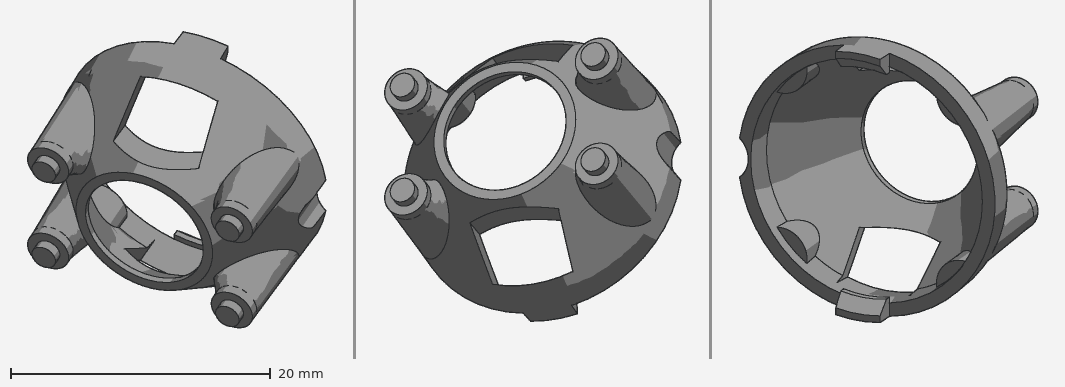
import cadquery as cq
import math


RIM_BACK_RADIUS = 11.04
SHOULDER_RADIUS = 10.96
SHOULDER_Y = -2.3
SHOULDER_SETBACK = 0.3
NOSE_RADIUS = 5.8
NOSE_Y = -9.6

CAVITY_BACK_RADIUS = 9.95
CAVITY_SHOULDER_RADIUS = 9.75
CAVITY_SHOULDER_Y = -2.3
BORE_RADIUS = 5.0
BORE_BACK_Y = -9.07

PAD_DISTANCE = 11.04
PAD_RADIUS = 2.25
PAD_BACK_Y = -0.9

POST_X = 7.8
POST_Z = 4.5
POST_ANGLE = math.atan2(POST_Z, POST_X)
POST_BASE_DISTANCE = 8.71
POST_BASE_RADIUS = 2.25
POST_ROOT_Y = -1.0
COLLAR_RADIUS = 1.75
COLLAR_END_Y = -10.4
PIN_RADIUS = 1.0
PIN_END_Y = -11.2
POST_SINK = 0.03
CURVE_STEPS = 24

WINDOW_TOP_Y = -3.33
WINDOW_TOP_RADIUS = 10.23
WINDOW_TOP_SLOPE = 0.17
WINDOW_TOP_HALF_WIDTH = 3.28
WINDOW_SILL_Z = 6.31
WINDOW_SILL_INNER_Z = 6.5
WINDOW_SIDE_SLOPE = 0.081

TAB_LENGTH = 1.5
TAB_INNER_RADIUS = 9.48
TAB_CHAMFER = 1.0
TAB_ROOT_HALF_WIDTH = 1.98
TAB_END_HALF_WIDTH = 1.91

KEY_FRONT_Y = -6.05
KEY_BACK_Y = -2.0
KEY_HALF_WIDTH = 1.76
KEY_OUTER_RADIUS = 11.02
KEY_INNER_X = -8.0
KEY_DRAFT = 2.2
KEY_CORNER_RADIUS = 0.4
KEY_FRONT_FILLET = 0.2

NOTCH_DEPTH_X = 10.17
NOTCH_RADIUS = 2.1

RIM_DRAFT = math.atan2(RIM_BACK_RADIUS - SHOULDER_RADIUS, -SHOULDER_Y)
CONE_ANGLE = math.atan2(SHOULDER_RADIUS - NOSE_RADIUS, SHOULDER_Y - NOSE_Y)
SHOULDER_ARC = SHOULDER_SETBACK / math.tan((CONE_ANGLE - RIM_DRAFT) / 2)
ARC_START_RADIUS = SHOULDER_RADIUS + SHOULDER_SETBACK * math.sin(RIM_DRAFT)
ARC_START_Y = SHOULDER_Y + SHOULDER_SETBACK * math.cos(RIM_DRAFT)
ARC_END_RADIUS = SHOULDER_RADIUS - SHOULDER_SETBACK * math.sin(CONE_ANGLE)
ARC_END_Y = SHOULDER_Y - SHOULDER_SETBACK * math.cos(CONE_ANGLE)
ARC_CENTER_RADIUS = ARC_START_RADIUS - SHOULDER_ARC * math.cos(RIM_DRAFT)
ARC_CENTER_Y = ARC_START_Y + SHOULDER_ARC * math.sin(RIM_DRAFT)

CAVITY_SLOPE = (CAVITY_SHOULDER_RADIUS - BORE_RADIUS) / (CAVITY_SHOULDER_Y - BORE_BACK_Y)


def outer_y(radius):
    """Y of the outer surface at a given radius, on the cone or on the rounded shoulder."""
    if radius <= ARC_END_RADIUS:
        return NOSE_Y + (radius - NOSE_RADIUS) / math.tan(CONE_ANGLE)
    return ARC_CENTER_Y - math.sqrt(SHOULDER_ARC**2 - (radius - ARC_CENTER_RADIUS) ** 2)


def cavity_y(radius):
    """Y of the cavity's conical wall at a given radius."""
    return BORE_BACK_Y + (radius - BORE_RADIUS) / CAVITY_SLOPE


def revolved(outline):
    return outline.close().revolve(360, (0, 0, 0), (0, 1, 0))


def make_outer_body():
    arc_middle_angle = (RIM_DRAFT + CONE_ANGLE) / 2
    arc_middle = (
        ARC_CENTER_RADIUS + SHOULDER_ARC * math.cos(arc_middle_angle),
        ARC_CENTER_Y - SHOULDER_ARC * math.sin(arc_middle_angle),
    )
    outline = (
        cq.Workplane("XY")
        .lineTo(RIM_BACK_RADIUS, 0)
        .lineTo(ARC_START_RADIUS, ARC_START_Y)
        .threePointArc(arc_middle, (ARC_END_RADIUS, ARC_END_Y))
        .lineTo(NOSE_RADIUS, NOSE_Y)
        .lineTo(0, NOSE_Y)
    )
    return revolved(outline)


def make_cavity():
    outline = (
        cq.Workplane("XY")
        .lineTo(CAVITY_BACK_RADIUS, 0)
        .lineTo(CAVITY_SHOULDER_RADIUS, CAVITY_SHOULDER_Y)
        .lineTo(BORE_RADIUS, BORE_BACK_Y)
        .lineTo(BORE_RADIUS, NOSE_Y)
        .lineTo(0, NOSE_Y)
    )
    return revolved(outline).cut(at_four_quadrants(make_pad()))


def make_pad():
    offset = PAD_DISTANCE / math.sqrt(2)
    return cylinder_along_y(offset, offset, PAD_RADIUS, PAD_BACK_Y, NOSE_Y)


def cylinder_along_y(x, z, radius, start_y, end_y):
    solid = cq.Solid.makeCylinder(radius, start_y - end_y, cq.Vector(x, start_y, z), cq.Vector(0, -1, 0))
    return cq.Workplane(solid)


def make_post_shank():
    """Shank for the post at +X +Z: a ruled skin from the collar to the curve where the base
    circle meets the outer surface, carried on a little below it, then a straight root inside."""
    base_x = POST_BASE_DISTANCE * math.cos(POST_ANGLE)
    base_z = POST_BASE_DISTANCE * math.sin(POST_ANGLE)

    def collar_point(angle):
        x = POST_X + COLLAR_RADIUS * math.cos(angle)
        z = POST_Z + COLLAR_RADIUS * math.sin(angle)
        return cq.Vector(x, NOSE_Y, z)

    def sunk_point(angle):
        x = base_x + POST_BASE_RADIUS * math.cos(angle)
        z = base_z + POST_BASE_RADIUS * math.sin(angle)
        surface_point = cq.Vector(x, outer_y(math.hypot(x, z)), z)
        return surface_point + (surface_point - collar_point(angle)) * POST_SINK

    def root_point(angle):
        point = sunk_point(angle)
        return cq.Vector(point.x, POST_ROOT_Y, point.z)

    def curve(point_at, start, end):
        angles = [start + (end - start) * i / CURVE_STEPS for i in range(CURVE_STEPS + 1)]
        return cq.Edge.makeSpline([point_at(angle) for angle in angles])

    shoulder_half_angle = math.acos(
        (ARC_END_RADIUS**2 - POST_BASE_DISTANCE**2 - POST_BASE_RADIUS**2)
        / (2 * POST_BASE_DISTANCE * POST_BASE_RADIUS)
    )
    splits = [
        POST_ANGLE - shoulder_half_angle,
        POST_ANGLE + shoulder_half_angle,
        POST_ANGLE - shoulder_half_angle + 2 * math.pi,
    ]
    faces = []
    root_edges = []
    collar_edges = []
    for start, end in zip(splits, splits[1:]):
        root_edge = curve(root_point, start, end)
        sunk_edge = curve(sunk_point, start, end)
        collar_edge = curve(collar_point, start, end)
        faces.append(cq.Face.makeRuledSurface(root_edge, sunk_edge))
        faces.append(cq.Face.makeRuledSurface(sunk_edge, collar_edge))
        root_edges.append(root_edge)
        collar_edges.append(collar_edge)
    for edges in (root_edges, collar_edges):
        faces.append(cq.Face.makeFromWires(cq.Wire.assembleEdges(edges)))
    return cq.Workplane(cq.Solid.makeSolid(cq.Shell.makeShell(faces)))


def at_four_quadrants(feature):
    """The feature at +X +Z and its three mirror images."""
    pair = feature.union(feature.mirror("XY"))
    return pair.union(pair.mirror("YZ"))


def make_collar_and_pin():
    collar = cylinder_along_y(POST_X, POST_Z, COLLAR_RADIUS, NOSE_Y, COLLAR_END_Y)
    pin = cylinder_along_y(POST_X, POST_Z, PIN_RADIUS, COLLAR_END_Y, PIN_END_Y)
    return collar.union(pin)


def make_key():
    """Drafted block, narrowing towards the nose, with an outer side that follows the rim."""
    outer_corner_x = -math.sqrt(KEY_OUTER_RADIUS**2 - KEY_HALF_WIDTH**2)
    base = (
        cq.Sketch()
        .segment((KEY_INNER_X, KEY_HALF_WIDTH), (outer_corner_x, KEY_HALF_WIDTH))
        .arc((-KEY_OUTER_RADIUS, 0), (outer_corner_x, -KEY_HALF_WIDTH))
        .segment((KEY_INNER_X, -KEY_HALF_WIDTH))
        .close()
        .assemble()
        .vertices()
        .fillet(KEY_CORNER_RADIUS)
    )
    key = (
        cq.Workplane("XZ", origin=(0, KEY_BACK_Y, 0))
        .placeSketch(base)
        .extrude(KEY_BACK_Y - KEY_FRONT_Y, taper=KEY_DRAFT)
    )
    return key.faces("<Y").edges().fillet(KEY_FRONT_FILLET)


def make_window():
    """Cutter for the upper window."""

    def half_width(y):
        return WINDOW_TOP_HALF_WIDTH + WINDOW_SIDE_SLOPE * (WINDOW_TOP_Y - y)

    def section(z, wall_y):
        """Region in front of the curve where a level plane meets a conical wall."""
        middle_y = wall_y(z)
        side_y = wall_y(math.hypot(z, half_width(middle_y)))
        return (
            cq.Workplane("XY", origin=(0, 0, z))
            .moveTo(-half_width(NOSE_Y), NOSE_Y)
            .lineTo(half_width(NOSE_Y), NOSE_Y)
            .lineTo(half_width(side_y), side_y)
            .threePointArc((0, middle_y), (-half_width(side_y), side_y))
            .close()
            .wire()
            .val()
        )

    sill = cq.Solid.makeLoft(
        [section(WINDOW_SILL_Z, outer_y), section(WINDOW_SILL_INNER_Z, cavity_y)], True
    )
    opening = (
        cq.Workplane("XY", origin=(0, 0, WINDOW_SILL_INNER_Z))
        .moveTo(-half_width(NOSE_Y), NOSE_Y)
        .lineTo(half_width(NOSE_Y), NOSE_Y)
        .lineTo(half_width(0), 0)
        .lineTo(-half_width(0), 0)
        .close()
        .extrude(RIM_BACK_RADIUS)
    )
    back_radius = WINDOW_TOP_RADIUS + WINDOW_TOP_SLOPE * WINDOW_TOP_Y
    front_radius = WINDOW_TOP_RADIUS + WINDOW_TOP_SLOPE * (WINDOW_TOP_Y - NOSE_Y)
    top_limit = revolved(
        cq.Workplane("XY").lineTo(back_radius, 0).lineTo(front_radius, NOSE_Y).lineTo(0, NOSE_Y)
    )
    return opening.intersect(top_limit).union(cq.Workplane(sill))


def make_tab():
    """Upper snap tab: a ring segment with a chamfered inner lip."""
    ring = (
        cq.Workplane("XY")
        .moveTo(TAB_INNER_RADIUS, 0)
        .lineTo(TAB_INNER_RADIUS, TAB_LENGTH - TAB_CHAMFER)
        .lineTo(TAB_INNER_RADIUS + TAB_CHAMFER, TAB_LENGTH)
        .lineTo(RIM_BACK_RADIUS, TAB_LENGTH)
        .lineTo(RIM_BACK_RADIUS, 0)
    )
    sides = (
        cq.Workplane("XY")
        .moveTo(-TAB_ROOT_HALF_WIDTH, 0)
        .lineTo(TAB_ROOT_HALF_WIDTH, 0)
        .lineTo(TAB_END_HALF_WIDTH, TAB_LENGTH)
        .lineTo(-TAB_END_HALF_WIDTH, TAB_LENGTH)
        .close()
        .extrude(RIM_BACK_RADIUS)
    )
    return revolved(ring).intersect(sides)


def make_notch():
    return cylinder_along_y(NOTCH_DEPTH_X + NOTCH_RADIUS, 0, NOTCH_RADIUS, 0, NOSE_Y)


cavity = make_cavity()
window = make_window()
tab = make_tab()

shell = make_outer_body().cut(cavity)
key = make_key().cut(cavity)
shanks = at_four_quadrants(make_post_shank()).cut(cavity)

result = shell.union(key).union(shanks)
result = result.cut(window).cut(window.mirror("XY"))
result = result.cut(make_notch())
result = result.union(at_four_quadrants(make_collar_and_pin()))
result = result.union(tab).union(tab.mirror("XY"))